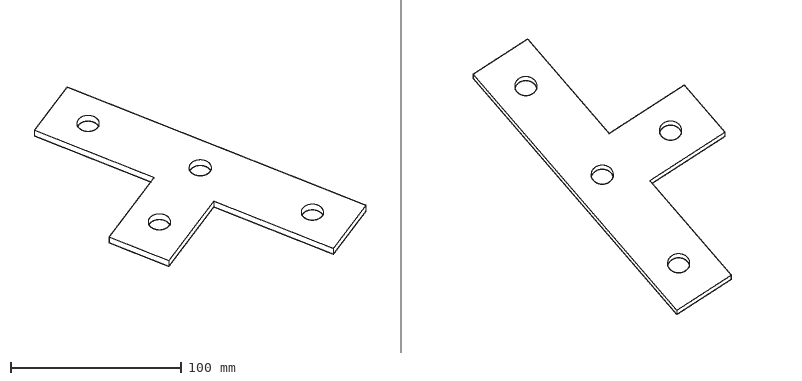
import cadquery as cq

bar_length = 200.0
total_depth = 95.0
thickness = 5.0
arm_width = 40.0

hole_diameter = 13.0
end_hole_offset = 75.0
stem_hole_offset = 50.0

bar = cq.Workplane("XY").box(bar_length, arm_width, thickness, centered=(True, True, False))

stem_center_y = (arm_width - total_depth) / 2
stem = (
    cq.Workplane("XY")
    .center(0, stem_center_y)
    .box(arm_width, total_depth, thickness, centered=(True, True, False))
)

hole_centers = [
    (-end_hole_offset, 0),
    (0, 0),
    (end_hole_offset, 0),
    (0, -stem_hole_offset),
]
holes = (
    cq.Workplane("XY")
    .pushPoints(hole_centers)
    .circle(hole_diameter / 2)
    .extrude(thickness)
)

result = bar.union(stem).clean().cut(holes)